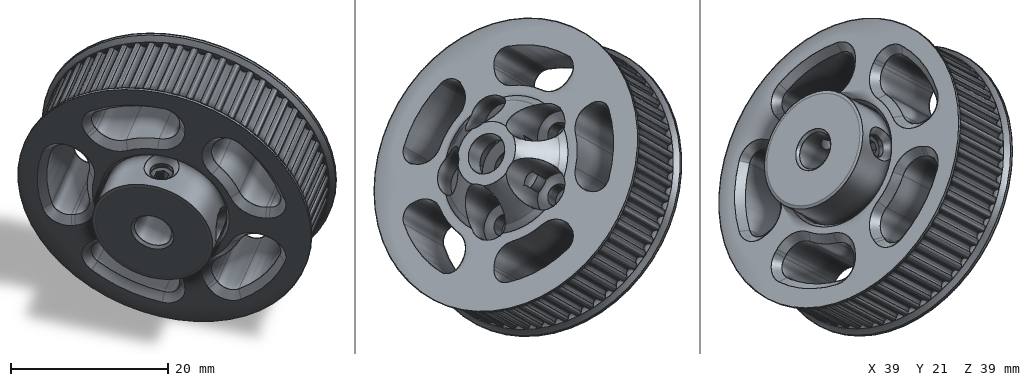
import cadquery as cq
import math


rim_diameter = 39.05
toothed_width = 9.0
flange_lip = 0.4
flange_bevel = 0.62
flange_width = flange_lip + flange_bevel
pulley_width = toothed_width + 2 * flange_width
hub_projection = 5.2
pulley_front = hub_projection
pulley_rear = pulley_front + pulley_width
overall_width = 21.0

tooth_count = 60
tooth_tip_radius = 18.83
groove_depth = 0.75
groove_half_width = 0.5
groove_shoulder_depth = 0.27
flank_half_width = 0.65
flank_depth = 0.08
groove_mouth_half_width = 0.82
tip_round_depth = 0.02

cone_tip_diameter = 8.6
collar_top_radius = 8.4
collar_base_radius = 9.2
collar_height = 0.65

spoke_count = 5
spoke_pitch = 360.0 / spoke_count
window_inner_radius = 10.6
window_outer_radius = 15.98
window_inner_fillet = 3.0
window_outer_fillet = 2.0
window_inner_fillet_angle = 12.6
window_outer_fillet_angle = 17.0
window_chamfer = 0.98

hub_diameter = 16.0
seat_diameter = 16.4
seat_roof = 10.95
spigot_diameter = 8.6
spigot_seat_diameter = 8.75
spigot_seat_end = pulley_rear + 0.2
spigot_end = 14.85
bore_diameter = 5.0
pulley_bore_diameter = 5.4
seat_chamfer = 0.43
hub_chamfer_width = 0.43
hub_chamfer_depth = 0.08
bore_chamfer = 0.35

bolt_circle_radius = 7.1
bolt_hole_diameter = 3.0
bolt_head_diameter = 6.0
bolt_head_floor = 12.9

screw_angles = (0, 90)
screw_diameter = 3.0
screw_axis_y = 4.0
screw_inner_radius = 3.35
screw_outer_radius = 6.35
countersink_diameter = 5.0
countersink_depth = (countersink_diameter - screw_diameter) / 2
hex_across_flats = 1.65
hex_depth = 1.35


def polar(radius, degrees):
    """Point in the XZ plane at a radius and an angle from the local X axis."""
    angle = math.radians(degrees)
    return (radius * math.cos(angle), radius * math.sin(angle))


def plane_at(y):
    """Sketch plane facing +Y whose local axes are +X and -Z."""
    return cq.Workplane(cq.Plane(origin=(0, y, 0), xDir=(1, 0, 0), normal=(0, 1, 0)))


def disc(diameter, start, end):
    return plane_at(start).circle(diameter / 2).extrude(end - start)


def revolved(profile):
    """Turn a closed (radius, y) profile around the Y axis."""
    return cq.Workplane("XY").polyline(profile).close().revolve(360, (0, 0, 0), (0, 1, 0))


def bore_chamfer_cone(radius, size, y):
    """Cone that breaks the edge of a bore opening toward -Y at y."""
    return revolved([(0, y), (radius + size, y), (radius, y + size), (0, y + size)])


def toothed_ring():
    """Disc whose edge carries the belt grooves, one of them at the top."""
    def on_rim(centre, offset, depth):
        radius = tooth_tip_radius - depth
        return polar(radius, centre + math.degrees(offset / radius))

    pitch = 360.0 / tooth_count
    tip_mid = (flank_half_width + groove_mouth_half_width) / 2
    outline = plane_at(pulley_front + flange_width)
    outline = outline.moveTo(*on_rim(0, -groove_mouth_half_width, 0))
    for tooth in range(tooth_count):
        centre = tooth * pitch
        outline = outline.threePointArc(
            on_rim(centre, -tip_mid, tip_round_depth),
            on_rim(centre, -flank_half_width, flank_depth),
        )
        outline = outline.lineTo(*on_rim(centre, -groove_half_width, groove_shoulder_depth))
        outline = outline.threePointArc(
            on_rim(centre, 0, groove_depth),
            on_rim(centre, groove_half_width, groove_shoulder_depth),
        )
        outline = outline.lineTo(*on_rim(centre, flank_half_width, flank_depth))
        outline = outline.threePointArc(
            on_rim(centre, tip_mid, tip_round_depth),
            on_rim(centre, groove_mouth_half_width, 0),
        )
        outline = outline.threePointArc(
            polar(tooth_tip_radius, centre + pitch / 2),
            on_rim(centre + pitch, -groove_mouth_half_width, 0),
        )
    return outline.close().extrude(toothed_width)


def flange(face, inward):
    """Rim flange from its outer face; inward is +1 or -1 along Y."""
    lip = face + inward * flange_lip
    inner = face + inward * flange_width
    rim = rim_diameter / 2
    return revolved([(0, face), (rim, face), (rim, lip), (rim - flange_bevel, inner), (0, inner)])


def rear_cone():
    return revolved([
        (0, pulley_rear),
        (collar_base_radius, pulley_rear),
        (collar_top_radius, pulley_rear + collar_height),
        (cone_tip_diameter / 2, overall_width),
        (0, overall_width),
    ])


def window_outline(y, growth):
    """Closed bean outline centred on +X, enlarged all round by growth."""
    inner_radius = window_inner_radius - growth
    outer_radius = window_outer_radius + growth
    inner_fillet = window_inner_fillet + growth
    outer_fillet = window_outer_fillet + growth
    inner_x, inner_z = polar(window_inner_radius + window_inner_fillet, window_inner_fillet_angle)
    outer_x, outer_z = polar(window_outer_radius - window_outer_fillet, window_outer_fillet_angle)

    centre_distance = math.hypot(outer_x - inner_x, outer_z - inner_z)
    centre_angle = math.degrees(math.atan2(outer_z - inner_z, outer_x - inner_x))
    side_angle = centre_angle + math.degrees(
        math.acos((window_inner_fillet - window_outer_fillet) / centre_distance)
    )

    def on_inner_fillet(degrees):
        x, z = polar(inner_fillet, degrees)
        return (inner_x + x, inner_z + z)

    def on_outer_fillet(degrees):
        x, z = polar(outer_fillet, degrees)
        return (outer_x + x, outer_z + z)

    def mirrored(point):
        return (point[0], -point[1])

    inner_start = polar(inner_radius, window_inner_fillet_angle)
    inner_mid = on_inner_fillet((180 + window_inner_fillet_angle + side_angle) / 2)
    inner_end = on_inner_fillet(side_angle)
    outer_start = on_outer_fillet(side_angle)
    outer_mid = on_outer_fillet((side_angle + window_outer_fillet_angle) / 2)
    outer_end = polar(outer_radius, window_outer_fillet_angle)
    return (
        plane_at(y)
        .moveTo(*inner_start)
        .threePointArc(inner_mid, inner_end)
        .lineTo(*outer_start)
        .threePointArc(outer_mid, outer_end)
        .threePointArc((outer_radius, 0), mirrored(outer_end))
        .threePointArc(mirrored(outer_mid), mirrored(outer_start))
        .lineTo(*mirrored(inner_end))
        .threePointArc(mirrored(inner_mid), mirrored(inner_start))
        .threePointArc((inner_radius, 0), inner_start)
        .close()
    )


def window_cutter():
    """Through window with a 45 degree chamfer at the front face."""
    through = window_outline(pulley_front, 0).extrude(pulley_width)
    mouth = window_outline(pulley_front, window_chamfer).val()
    throat = window_outline(pulley_front + window_chamfer, 0).val()
    return through.union(cq.Workplane(cq.Solid.makeLoft([mouth, throat], True)))


def bolt_cutter():
    """Bolt hole with a wide head clearance that opens through the rear cone."""
    hole = plane_at(seat_roof).center(bolt_circle_radius, 0).circle(bolt_hole_diameter / 2)
    head = plane_at(bolt_head_floor).center(bolt_circle_radius, 0).circle(bolt_head_diameter / 2)
    return hole.extrude(bolt_head_floor - seat_roof).union(head.extrude(overall_width - bolt_head_floor))


def hub_seat():
    """Stepped opening for the hub, with a coned roof leading to the shaft clearance."""
    wide = spigot_seat_diameter / 2
    narrow = pulley_bore_diameter / 2
    seat = seat_diameter / 2
    return revolved([
        (0, pulley_front),
        (seat + seat_chamfer, pulley_front),
        (seat, pulley_front + seat_chamfer),
        (seat, seat_roof),
        (wide, seat_roof),
        (wide, spigot_seat_end),
        (narrow, spigot_seat_end + wide - narrow),
        (narrow, overall_width),
        (0, overall_width),
    ])


def make_pulley():
    pulley = toothed_ring()
    pulley = pulley.union(flange(pulley_front, 1)).union(flange(pulley_rear, -1)).union(rear_cone())
    pulley = pulley.cut(hub_seat())
    window = window_cutter()
    bolt = bolt_cutter()
    for spoke in range(spoke_count):
        angle = spoke * spoke_pitch
        pulley = pulley.cut(bolt.rotate((0, 0, 0), (0, 1, 0), angle))
        pulley = pulley.cut(window.rotate((0, 0, 0), (0, 1, 0), angle + spoke_pitch / 2))
    return pulley


def upright_cylinder(diameter, start, end):
    """Cylinder along +Z on the axis of the upper set screw."""
    return cq.Workplane("XY", origin=(0, screw_axis_y, start)).circle(diameter / 2).extrude(end - start)


def turned_to(body, angle):
    """Turn a body from +Z toward +X about the Y axis."""
    return body.rotate((0, 0, 0), (0, 1, 0), angle)


def screw_hole():
    """Countersunk hole from the hub's outside to its bore, along +Z."""
    surface = hub_diameter / 2
    hole = upright_cylinder(screw_diameter, 0, surface)
    countersink = (
        cq.Workplane("XY", origin=(0, screw_axis_y, surface))
        .circle(countersink_diameter / 2)
        .extrude(-countersink_depth, taper=45)
    )
    return hole.union(countersink)


def make_hub():
    radius = hub_diameter / 2
    spigot_radius = spigot_diameter / 2
    hub = revolved([
        (0, 0),
        (radius - hub_chamfer_width, 0),
        (radius, hub_chamfer_depth),
        (radius, seat_roof),
        (spigot_radius, seat_roof),
        (spigot_radius, spigot_end),
        (0, spigot_end),
    ])
    hub = hub.cut(disc(bore_diameter, 0, spigot_end))
    hub = hub.cut(bore_chamfer_cone(bore_diameter / 2, bore_chamfer, 0))
    for angle in screw_angles:
        hub = hub.cut(turned_to(screw_hole(), angle))
    return hub


def make_set_screw(angle):
    hex_across_corners = hex_across_flats / math.cos(math.radians(30))
    screw = upright_cylinder(screw_diameter, screw_inner_radius, screw_outer_radius)
    socket = (
        cq.Workplane("XY", origin=(0, screw_axis_y, screw_outer_radius))
        .transformed(rotate=(0, 0, 90))
        .polygon(6, hex_across_corners)
        .extrude(-hex_depth)
    )
    return turned_to(screw.cut(socket), angle)


pulley = make_pulley()
hub = make_hub()
set_screws = [make_set_screw(angle) for angle in screw_angles]

result = cq.Compound.makeCompound([pulley.val(), hub.val(), *[screw.val() for screw in set_screws]])